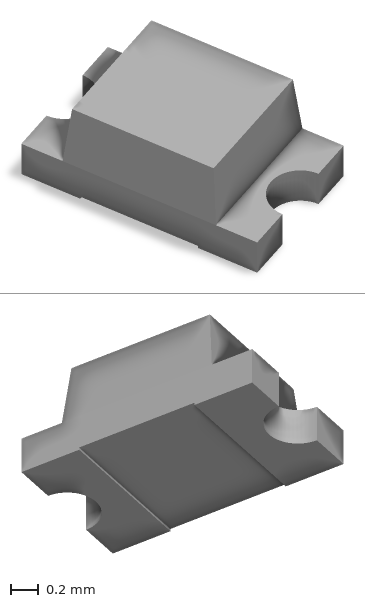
import cadquery as cq

length = 2.0
width = 1.2
height = 0.8

base_height = 0.3
pad_length = 0.5
pad_thickness = 0.02
notch_radius = 0.25

lens_length = 1.3
lens_inset = 0.05
lens_height = height - base_height


def make_base():
    """Board standing on two end pads, with a half-round notch in each end."""
    board = cq.Workplane("XY").box(length, width, base_height, centered=(True, True, False))
    gap_length = length - 2 * pad_length
    gap = cq.Workplane("XY").box(gap_length, width, pad_thickness, centered=(True, True, False))
    notches = (
        cq.Workplane("XY")
        .pushPoints([(-length / 2, 0), (length / 2, 0)])
        .circle(notch_radius)
        .extrude(base_height)
    )
    return board.cut(gap).cut(notches)


def make_lens():
    """Block whose four sides lean inward by the same amount up to a flat top."""
    return (
        cq.Workplane("XY")
        .workplane(offset=base_height)
        .rect(lens_length, width)
        .workplane(offset=lens_height)
        .rect(lens_length - 2 * lens_inset, width - 2 * lens_inset)
        .loft(ruled=True)
    )


result = make_base().union(make_lens())